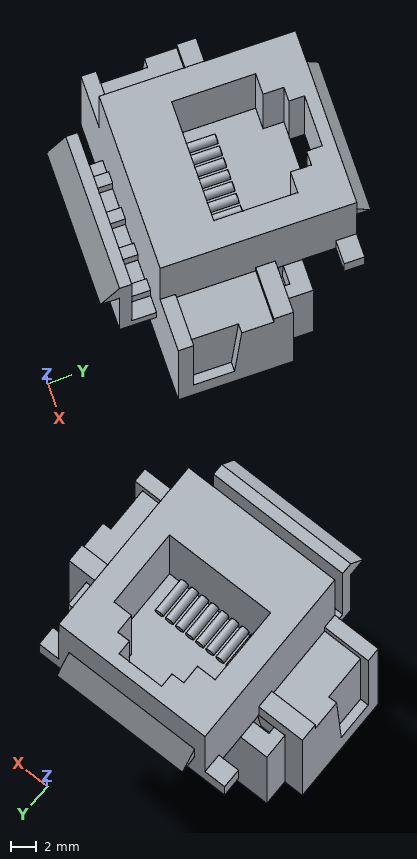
import cadquery as cq


base_width = 23.0
base_rear = 9.38
shelf_height = 14.95
ledge_height = 16.03
front_ledge_depth = 1.25
rear_ledge_depth = 1.6

total_height = 26.2
tower_width = 14.4
tower_rear = 16.0
tower_bottom = 13.57

peg_span = 18.3
peg_depth = 1.7

opening_front = 5.14
opening_floor = shelf_height
plug_width = 9.95
plug_rear = 11.97
shoulder_width = 6.5
shoulder_rear = 13.68
tab_slot_width = 4.2
tab_slot_rear = 14.95

contact_count = 8
contact_pitch = 1.0
contact_diameter = 0.79
contact_length = 3.15
contact_height = opening_floor + contact_diameter

recess_depth = 0.75
recess_bottom = 3.22
recess_bottom_rear = 4.58
recess_top_rear = 5.15

latch_width = 12.73
latch_gap = 2.02
latch_thickness = 1.0
latch_front = latch_gap + latch_thickness
latch_bottom = 6.95
latch_foot_top = 8.57
latch_top = 20.4
hook_reach = 4.58
hook_height = 17.21

gusset_width = 0.97
gusset_top = 10.35
gusset_centres = (-4.48, -1.5, 1.5, 4.48)

catch_width = 12.37
catch_reach = 1.52
catch_top = 20.25
catch_root_height = 18.03
catch_tip_height = 17.85

insert_width = 19.57
insert_front = front_ledge_depth
insert_rear = 11.6
insert_bottom = 0.1
insert_top = tower_bottom

notch_depth = 2.62
notch_outer = 8.72
notch_inner_top = 7.07
notch_inner_bottom = 7.41
notch_rear_top = 10.03
notch_rear_bottom = 9.9


def box(width, y_range, z_range, x_centre=0.0):
    """Block of a given X width between two Y values and two Z values."""
    y_start, y_end = y_range
    z_start, z_end = z_range
    return cq.Workplane("XY").box(
        width, y_end - y_start, z_end - z_start, centered=(True, False, False)
    ).translate((x_centre, y_start, z_start))


def extrude_side_profile(points, width):
    """Extrude a (Y, Z) outline evenly to both sides of X = 0."""
    return cq.Workplane("YZ").polyline(points).close().extrude(width / 2, both=True)


def make_base():
    profile = [
        (0, 0),
        (base_rear, 0),
        (base_rear, ledge_height),
        (base_rear - rear_ledge_depth, ledge_height),
        (base_rear - rear_ledge_depth, shelf_height),
        (front_ledge_depth, shelf_height),
        (front_ledge_depth, ledge_height),
        (0, ledge_height),
    ]
    return extrude_side_profile(profile, base_width)


def make_tower():
    tower = box(tower_width, (0, tower_rear), (tower_bottom, total_height))
    pegs = box(peg_span, (tower_rear - peg_depth, tower_rear), (tower_bottom, ledge_height))
    return tower.union(pegs)


def make_opening():
    heights = (opening_floor, total_height)
    plug = box(plug_width, (opening_front, plug_rear), heights)
    shoulder = box(shoulder_width, (opening_front, shoulder_rear), heights)
    tab_slot = box(tab_slot_width, (shoulder_rear, tab_slot_rear), (tower_bottom, total_height))
    return plug.union(shoulder).union(tab_slot)


def make_contacts():
    """Row of wires along Y, each rooted in the front wall of the opening."""
    root_depth = contact_diameter
    first_x = -contact_pitch * (contact_count - 1) / 2
    centres = [(first_x + i * contact_pitch, contact_height) for i in range(contact_count)]
    return (
        cq.Workplane("XZ", origin=(0, opening_front + contact_length, 0))
        .pushPoints(centres)
        .circle(contact_diameter / 2)
        .extrude(contact_length + root_depth)
    )


def make_side_recess():
    """Recess in the -X side of the base, open at the shelf."""
    profile = [
        (front_ledge_depth, recess_bottom),
        (recess_bottom_rear, recess_bottom),
        (recess_top_rear, shelf_height),
        (front_ledge_depth, shelf_height),
    ]
    return (
        cq.Workplane("YZ", origin=(-base_width / 2, 0, 0))
        .polyline(profile)
        .close()
        .extrude(recess_depth)
    )


def make_latch():
    profile = [
        (0, latch_bottom),
        (-latch_front, latch_bottom),
        (-latch_front, hook_height),
        (-hook_reach, hook_height),
        (-latch_front, latch_top),
        (-latch_gap, latch_top),
        (-latch_gap, latch_foot_top),
        (0, latch_foot_top),
    ]
    latch = extrude_side_profile(profile, latch_width)
    for x in gusset_centres:
        latch = latch.union(box(gusset_width, (-latch_gap, 0), (latch_foot_top, gusset_top), x))
    return latch


def make_catch():
    profile = [
        (tower_rear, catch_root_height),
        (tower_rear + catch_reach, catch_tip_height),
        (tower_rear, catch_top),
    ]
    return extrude_side_profile(profile, catch_width)


def make_housing():
    insert_space = box(insert_width, (insert_front, base_rear), (0, insert_top))
    left_recess = make_side_recess()
    return (
        make_base()
        .cut(insert_space)
        .cut(left_recess)
        .cut(left_recess.mirror("YZ"))
        .union(make_tower())
        .cut(make_opening())
        .union(make_contacts())
        .union(make_latch())
        .union(make_catch())
    )


def make_notch():
    """Notch on the -X side whose inner and rear walls lean outwards going up."""
    notch_bottom = insert_top - notch_depth
    bottom_width = notch_outer - notch_inner_bottom
    bottom_length = notch_rear_bottom - base_rear
    top_width = notch_outer - notch_inner_top
    top_length = notch_rear_top - base_rear
    return (
        cq.Workplane("XY", origin=(-notch_outer, base_rear, notch_bottom))
        .rect(bottom_width, bottom_length, centered=False)
        .workplane(offset=notch_depth)
        .rect(top_width, top_length, centered=False)
        .loft(ruled=True)
    )


def make_insert():
    block = box(insert_width, (insert_front, insert_rear), (insert_bottom, insert_top))
    left_notch = make_notch()
    return block.cut(left_notch).cut(left_notch.mirror("YZ"))


housing = make_housing()
insert = make_insert()

result = cq.Compound.makeCompound([housing.val(), insert.val()])